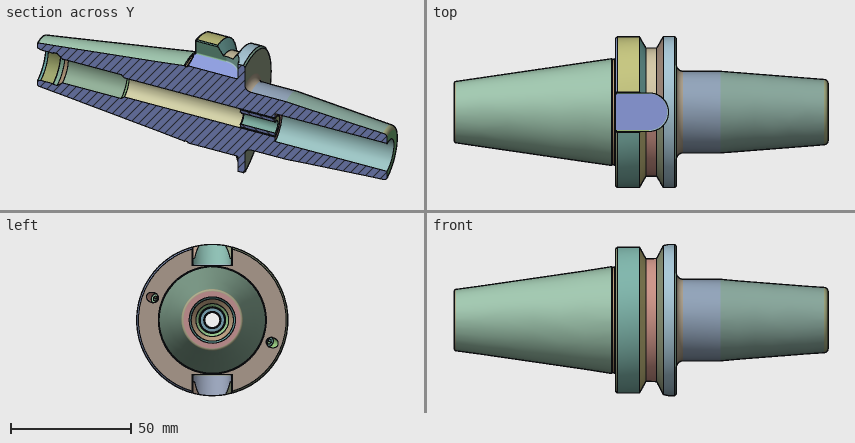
import cadquery as cq
import math


total_length = 155.4
taper_length = 65.3
taper_gauge_radius = 44.5 / 2
taper_slope = 7 / 48
taper_end_fillet = 1.0
neck_radius = 44.0 / 2
neck_chamfer = 0.5

flange_radius = 63.0 / 2
flange_start = 67.0
flange_end = 92.3
flange_edge_chamfer = 0.8

groove_middle = 81.9
groove_width = 10.0
groove_floor_radius = 26.7
groove_half_angle = 30.0

nose_radius = 34.0 / 2
nose_root_fillet = 2.8
nose_cylinder_end = 110.7
nose_taper_angle = 4.5
nose_tip_fillet = 1.9

slot_width = 16.0
slot_floor_height = 22.7
slot_end = 89.0
slot_floor_fillet = 0.5
slot_edge_chamfer = 0.5

mouth_radius = 9.6
mouth_depth = 1.5
pilot_radius = 17.5 / 2
pilot_end = 7.0
thread_radius = 6.8
thread_end = 37.3
undercut_radius = 9.2
undercut_length = 1.9
bore_cone_angle = 45.0
stop_bore_radius = 5.5
tool_bore_radius = 16.0 / 2
tool_bore_start = 105.7

stop_length = 15.5
stop_screw_radius = 5.1
stop_hole_chamfer = 0.5
stop_hole_radius = 3.1

plug_radius = 4.2 / 2
plug_circle_radius = 26.5
plug_angle = 20.7
plug_tilt = 35.0
plug_recess = 2.3
plug_length = 4.0
plug_socket_width = 2.0
plug_socket_depth = 2.0


def cone_length(large_radius, small_radius):
    """Axial length of a conical shoulder in the bore."""
    return (large_radius - small_radius) / math.tan(math.radians(bore_cone_angle))


def outer_body():
    """Solid of revolution: taper, grooved flange and nose."""
    taper_start_radius = taper_gauge_radius - taper_slope * taper_length
    groove_depth = flange_radius - groove_floor_radius
    half_top = groove_width / 2
    half_floor = half_top - groove_depth * math.tan(math.radians(groove_half_angle))
    nose_taper_length = total_length - nose_cylinder_end
    tip_radius = nose_radius - nose_taper_length * math.tan(math.radians(nose_taper_angle))
    edge_radius = flange_radius - flange_edge_chamfer
    root_radius = nose_radius + nose_root_fillet
    arc_share = 1 - math.sqrt(0.5)
    profile = (
        cq.Workplane("XY")
        .moveTo(0, 0)
        .lineTo(0, taper_start_radius)
        .lineTo(taper_length, taper_gauge_radius)
        .lineTo(taper_length + neck_chamfer, neck_radius)
        .lineTo(flange_start - neck_chamfer, neck_radius)
        .lineTo(flange_start, neck_radius + neck_chamfer)
        .lineTo(flange_start, edge_radius)
        .lineTo(flange_start + flange_edge_chamfer, flange_radius)
        .lineTo(groove_middle - half_top, flange_radius)
        .lineTo(groove_middle - half_floor, groove_floor_radius)
        .lineTo(groove_middle + half_floor, groove_floor_radius)
        .lineTo(groove_middle + half_top, flange_radius)
        .lineTo(flange_end - flange_edge_chamfer, flange_radius)
        .lineTo(flange_end, edge_radius)
        .lineTo(flange_end, root_radius)
        .threePointArc(
            (flange_end + nose_root_fillet * arc_share, nose_radius + nose_root_fillet * arc_share),
            (flange_end + nose_root_fillet, nose_radius),
        )
        .lineTo(nose_cylinder_end, nose_radius)
        .lineTo(total_length, tip_radius)
        .lineTo(total_length, 0)
        .close()
    )
    body = profile.revolve(360, (0, 0, 0), (1, 0, 0))
    body = body.faces("<X").edges().fillet(taper_end_fillet)
    return body.faces(">X").edges().fillet(nose_tip_fillet)


def bore():
    """Stepped bore right through the holder."""
    undercut_end = pilot_end + undercut_length
    thread_start = undercut_end + cone_length(undercut_radius, thread_radius)
    return (
        cq.Workplane("XY")
        .moveTo(0, 0)
        .lineTo(0, mouth_radius)
        .lineTo(mouth_depth, pilot_radius)
        .lineTo(pilot_end, pilot_radius)
        .lineTo(pilot_end, undercut_radius)
        .lineTo(undercut_end, undercut_radius)
        .lineTo(thread_start, thread_radius)
        .lineTo(thread_end, thread_radius)
        .lineTo(thread_end + cone_length(thread_radius, stop_bore_radius), stop_bore_radius)
        .lineTo(tool_bore_start, stop_bore_radius)
        .lineTo(tool_bore_start, tool_bore_radius)
        .lineTo(total_length, tool_bore_radius)
        .lineTo(total_length, 0)
        .close()
        .revolve(360, (0, 0, 0), (1, 0, 0))
    )


def drive_slot():
    """Cutter for the top drive slot: with a round inner end and a filleted floor."""
    half = slot_width / 2
    centre = slot_end - half
    depth = flange_radius - slot_floor_height
    slot = (
        cq.Workplane("XY", origin=(0, 0, slot_floor_height))
        .moveTo(taper_length, -half)
        .lineTo(centre, -half)
        .threePointArc((slot_end, 0), (centre, half))
        .lineTo(taper_length, half)
        .close()
        .extrude(depth)
    )
    return slot.faces("<Z").edges("not <X").fillet(slot_floor_fillet)


def slot_edge_bevel():
    """Cutter for the bevels on the slot edges: along the flange rim and down its front face."""
    half = slot_width / 2
    wide = half + slot_edge_chamfer
    rim_height = math.sqrt(flange_radius**2 - wide**2)
    rim = (
        cq.Workplane("YZ", origin=(flange_start, 0, 0))
        .polyline([
            (-half, rim_height - slot_edge_chamfer),
            (half, rim_height - slot_edge_chamfer),
            (wide, rim_height),
            (wide, flange_radius),
            (-wide, flange_radius),
            (-wide, rim_height),
        ])
        .close()
        .extrude(groove_middle - flange_start)
    )
    front = (
        cq.Workplane("XY", origin=(0, 0, slot_floor_height))
        .polyline([
            (flange_start, -wide),
            (flange_start, wide),
            (flange_start + slot_edge_chamfer, half),
            (flange_start + slot_edge_chamfer, -half),
        ])
        .close()
        .extrude(flange_radius - slot_floor_height)
    )
    return rim.union(front)


def plug_plane(angle):
    """Plane at the mouth of a plug hole, with its normal running down the hole."""
    turn = math.radians(angle)
    tilt = math.radians(plug_tilt)
    outward = (math.cos(turn), math.sin(turn))
    origin = (flange_start, plug_circle_radius * outward[0], plug_circle_radius * outward[1])
    normal = (math.cos(tilt), -math.sin(tilt) * outward[0], -math.sin(tilt) * outward[1])
    tangent = (0, -outward[1], outward[0])
    return cq.Plane(origin=origin, xDir=tangent, normal=normal)


def plug_hole(angle):
    """Cutter for the blind slanted hole of one plug, long enough to clear the flange face."""
    start = plug_radius
    length = start + plug_recess + plug_length
    return cq.Workplane(plug_plane(angle)).workplane(offset=-start).circle(plug_radius).extrude(length)


def make_plug(angle):
    """Headless plug screw with a hexagon socket."""
    plug_face = cq.Workplane(plug_plane(angle)).workplane(offset=plug_recess)
    socket = plug_face.polygon(6, plug_socket_width, circumscribed=True).extrude(plug_socket_depth)
    return plug_face.circle(plug_radius).extrude(plug_length).cut(socket)


def make_housing(plug_angles):
    housing = outer_body().cut(bore())
    for turn in (0, 180):
        housing = housing.cut(drive_slot().rotate((0, 0, 0), (1, 0, 0), turn))
        housing = housing.cut(slot_edge_bevel().rotate((0, 0, 0), (1, 0, 0), turn))
    for angle in plug_angles:
        housing = housing.cut(plug_hole(angle))
    return housing


def make_stop_screw():
    """Hollow stop screw behind the tool bore, with a chamfered rear mouth."""
    rear = tool_bore_start - stop_length
    screw = cq.Workplane("YZ", origin=(rear, 0, 0)).circle(stop_screw_radius).extrude(stop_length)
    screw = screw.faces("<X").workplane().hole(2 * stop_hole_radius)
    hole_rim = screw.faces("<X").edges(cq.selectors.RadiusNthSelector(0))
    return hole_rim.chamfer(stop_hole_chamfer)


plug_angles = [plug_angle, plug_angle + 180]
housing = make_housing(plug_angles)
stop_screw = make_stop_screw()
plugs = [make_plug(angle) for angle in plug_angles]

result = cq.Compound.makeCompound([housing.val(), stop_screw.val(), *[plug.val() for plug in plugs]])